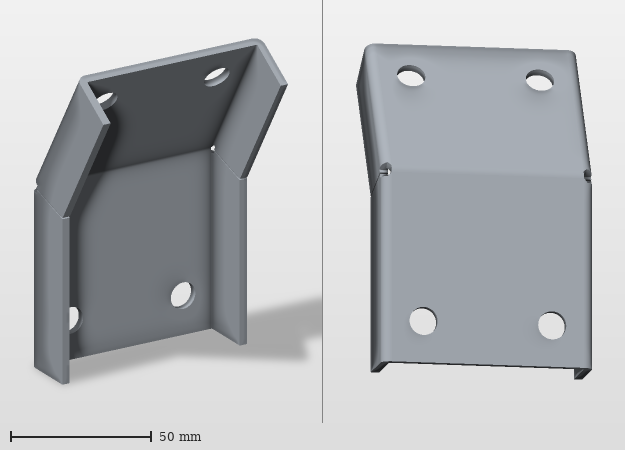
import cadquery as cq
import math

thickness = 3.0
side_bend_radius = 3.5
side_inner_radius = side_bend_radius - thickness
crease_radius = 4.7
crease_inner_radius = crease_radius - thickness

width = 76.5
flange_depth = 22.2
lower_length = 69.9
upper_length = 59.9
tilt = 32.0

relief_length = 2.9
relief_depth = 4.3
slit_width = 0.6
relief_ramp_width = 1.3

hole_diameter = 10.1
hole_inset = 15.0

half_width = width / 2
web_half_width = half_width - side_bend_radius
miter_slope = math.tan(math.radians(tilt / 2))
crease_tangent = crease_radius * miter_slope
slit_drop = slit_width / 2 / math.cos(math.radians(tilt / 2))


def miter_height(x):
    """Height of the plane halving the crease, relative to its sharp outer corner."""
    return -x * miter_slope


def web_plate(length):
    """Flat web of a leg hanging down from the crease, with its two holes."""
    plate = (
        cq.Workplane("XZ")
        .polyline([(0, -length), (thickness, -length), (thickness, miter_height(thickness)), (0, 0)])
        .close()
        .extrude(web_half_width, both=True)
    )
    hole_y = half_width - hole_inset
    holes = (
        cq.Workplane("YZ")
        .pushPoints([(-hole_y, hole_inset - length), (hole_y, hole_inset - length)])
        .circle(hole_diameter / 2)
        .extrude(thickness)
    )
    return plate.cut(holes)


def side_strip(length):
    """Side bend and flange on the -Y side, trimmed for the relief and the slit."""
    diagonal = math.sqrt(0.5)
    outer_mid = side_bend_radius * (1 - diagonal)
    inner_mid = side_bend_radius - side_inner_radius * diagonal
    section = (
        cq.Workplane("XY")
        .moveTo(0, side_bend_radius)
        .threePointArc((outer_mid, outer_mid), (side_bend_radius, 0))
        .lineTo(flange_depth, 0)
        .lineTo(flange_depth, thickness)
        .lineTo(side_bend_radius, thickness)
        .threePointArc((inner_mid, inner_mid), (thickness, side_bend_radius))
        .close()
        .extrude(-length)
        .translate((0, -half_width, 0))
    )
    side_outline = (
        cq.Workplane("XZ")
        .polyline([
            (0, -length),
            (flange_depth, -length),
            (flange_depth, miter_height(flange_depth) - slit_drop),
            (relief_depth, miter_height(relief_depth) - slit_drop),
            (relief_depth, -relief_length),
            (0, -relief_length),
        ])
        .close()
        .extrude(width, both=True)
    )
    ramp = (
        cq.Workplane("YZ")
        .polyline([
            (-web_half_width, -length),
            (-web_half_width, -crease_tangent),
            (-web_half_width - relief_ramp_width, -relief_length),
            (-web_half_width - relief_ramp_width, -length),
        ])
        .close()
        .extrude(thickness)
    )
    return section.intersect(side_outline.union(ramp))


def leg(length):
    """Channel leg hanging down from the crease corner at the origin."""
    strip = side_strip(length)
    return web_plate(length).union(strip).union(strip.mirror("XZ"))


def round_crease(body, radius, x, z):
    """Round the edge along Y that passes through (x, z)."""
    edge = cq.selectors.NearestToPointSelector((x, 0, z))
    return body.edges("|Y").edges(edge).fillet(radius)


lower_leg = leg(lower_length)
upper_leg = leg(upper_length).mirror("XY").rotate((0, 0, 0), (0, 1, 0), tilt)
bracket = lower_leg.union(upper_leg)
bracket = round_crease(bracket, crease_radius, 0, 0)
bracket = round_crease(bracket, crease_inner_radius, thickness, miter_height(thickness))

result = bracket.translate((0, 0, lower_length))